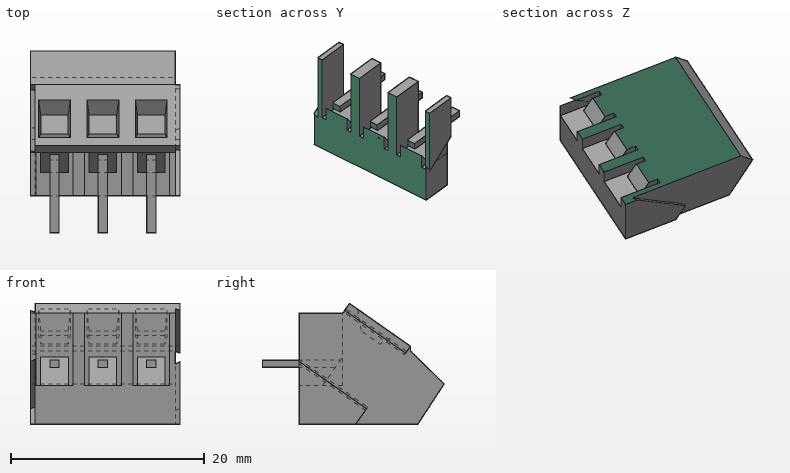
import cadquery as cq
import math

poles = 3
pitch = 5.0
body_width = poles * pitch
hook_width = 0.49
undercut = 0.19
overall_width = body_width + hook_width

slope = math.radians(35)
body_height = 11.5
overall_height = 12.5
lid_foot_y = 4.5
lid_peak_y = lid_foot_y + (overall_height - body_height) * math.tan(slope)
lid_end_y = 11.5
lip_height = 0.49
back_tip_y = 14.98
back_tip_z = 4.17
underside_end_y = 12.25

lid_hook_thickness = 0.88
foot_hook_front_z = 6.49
foot_hook_end_y = 6.95
lid_length = (lid_end_y - lid_peak_y) / math.cos(slope)

bay_width = 3.8
bay_floor_z = 4.05
ramp_width = 2.85
ramp_start_y = 2.45
pin_width = 0.98
pin_height = 0.75
pin_bottom_z = 5.88
pin_length = 3.82

entry_width = 3.29
entry_front_y = 6.03
entry_back_y = 9.93
entry_floor_width = 2.84
entry_floor_front_y = 6.41
entry_floor_back_y = 8.35
entry_depth = 2.0


def lid_z(y):
    """Height of the sloping lid surface at a given Y."""
    return overall_height - (y - lid_peak_y) * math.tan(slope)


def side_prism(points, x_start, width):
    """Extrude a (Y, Z) outline along X."""
    return cq.Workplane("YZ", origin=(x_start, 0, 0)).polyline(points).close().extrude(width)


def slope_prism(points, end_y, end_z, length):
    """Extrude an (X, height above slope) outline up the slope from its lower end."""
    up_slope = (0, -math.cos(slope), math.sin(slope))
    plane = cq.Plane(origin=(0, end_y, end_z), xDir=(1, 0, 0), normal=up_slope)
    return cq.Workplane(plane).polyline(points).close().extrude(length)


def make_body():
    lid_end_z = lid_z(lid_end_y)
    outline = [
        (0, 0),
        (0, body_height),
        (lid_foot_y, body_height),
        (lid_peak_y, overall_height),
        (lid_end_y, lid_end_z),
        (lid_end_y, lid_end_z - lip_height),
        (back_tip_y, back_tip_z),
        (underside_end_y, 0),
    ]
    return side_prism(outline, 0, body_width)


def add_lid_hooks(body):
    """Recess the lid on the -X side and let it overhang on the +X side."""
    end_z = lid_z(lid_end_y)
    base = -lid_hook_thickness
    clearance = lid_hook_thickness
    recess = [(0, base), (hook_width, base - undercut), (hook_width, clearance), (0, clearance)]
    hook = [(body_width, base + undercut), (overall_width, base), (overall_width, 0), (body_width, 0)]
    body = body.cut(slope_prism(recess, lid_end_y, end_z, lid_length + clearance))
    return body.union(slope_prism(hook, lid_end_y, end_z, lid_length))


def add_foot_hooks(body):
    """Recess the lower front corner on the -X side and extend it on the +X side."""
    end_z = foot_hook_front_z - foot_hook_end_y * math.tan(slope)
    length = 2 * foot_hook_end_y
    depth = overall_height
    recess = [(0, 0), (hook_width, undercut), (hook_width, -depth), (0, -depth)]
    hook = [(body_width, -undercut), (overall_width, 0), (overall_width, -depth), (body_width, -depth)]
    limits = cq.Workplane("XY").box(overall_width, back_tip_y, overall_height, centered=False)
    body = body.cut(slope_prism(recess, foot_hook_end_y, end_z, length))
    return body.union(slope_prism(hook, foot_hook_end_y, end_z, length).intersect(limits))


def make_bay(center_x):
    return (
        cq.Workplane("XY", origin=(center_x, 0, bay_floor_z))
        .box(bay_width, lid_foot_y, overall_height, centered=(True, False, False))
        .intersect(cq.Workplane("XY").box(overall_width, lid_foot_y, body_height, centered=False))
    )


def make_ramp(center_x):
    """Ramp at the back of a bay, square to the lid slope."""
    ramp_top_z = bay_floor_z + (lid_foot_y - ramp_start_y) / math.tan(slope)
    outline = [(ramp_start_y, bay_floor_z), (lid_foot_y, ramp_top_z), (lid_foot_y, bay_floor_z)]
    return side_prism(outline, center_x - ramp_width / 2, ramp_width)


def make_pin(center_x):
    return cq.Workplane("XY", origin=(center_x, -pin_length, pin_bottom_z)).box(
        pin_width, pin_length + lid_foot_y, pin_height, centered=(True, False, False)
    )


def make_entry(center_x):
    """Tapered pocket between a rectangle on the lid and a smaller floor parallel to it."""

    def rectangle(width, front_y, front_z, back_y, back_z):
        half = width / 2
        corners = [
            (center_x - half, front_y, front_z),
            (center_x + half, front_y, front_z),
            (center_x + half, back_y, back_z),
            (center_x - half, back_y, back_z),
        ]
        return cq.Wire.makePolygon([cq.Vector(*corner) for corner in corners], close=True)

    mouth = rectangle(entry_width, entry_front_y, lid_z(entry_front_y), entry_back_y, lid_z(entry_back_y))
    floor = rectangle(
        entry_floor_width,
        entry_floor_front_y,
        lid_z(entry_floor_front_y) - entry_depth,
        entry_floor_back_y,
        lid_z(entry_floor_back_y) - entry_depth,
    )
    return cq.Workplane(cq.Solid.makeLoft([floor, mouth], True))


result = add_foot_hooks(add_lid_hooks(make_body()))
for pole in range(poles):
    pole_x = (pole + 0.5) * pitch
    result = result.cut(make_bay(pole_x)).cut(make_entry(pole_x))
    result = result.union(make_ramp(pole_x)).union(make_pin(pole_x))